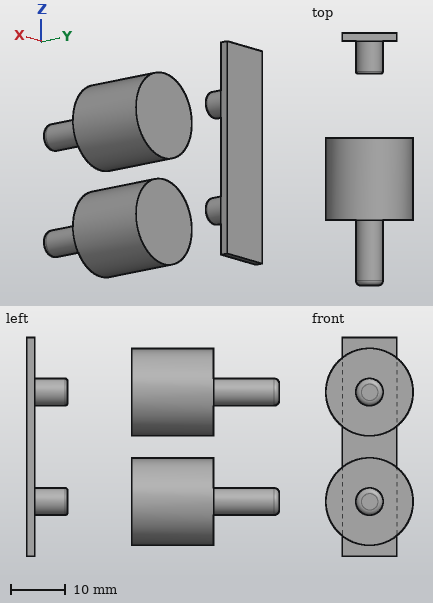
import cadquery as cq

plate_width = 10.0
plate_height = 40.0
plate_thickness = 1.5
pin_diameter = 5.0
pin_length = 6.0
pin_tip_radius = 0.5

bumper_diameter = 16.0
bumper_length = 15.0
stud_diameter = 5.0
stud_length = 12.0
stud_tip_radius = 1.0

overall_depth = 46.19
axis_spacing = 20.0
axis_heights = [-axis_spacing / 2, axis_spacing / 2]
plate_front_y = -plate_thickness
stud_tip_y = -overall_depth
bumper_front_y = stud_tip_y + stud_length
bumper_back_y = bumper_front_y + bumper_length


def cylinder_forward(diameter, length, start_y, height):
    """Cylinder centred on X = 0 that starts at start_y and runs toward -Y."""
    plane = cq.Workplane("XZ", origin=(0, start_y, height))
    return plane.circle(diameter / 2).extrude(length)


def make_locating_pin(height):
    """Short pin on the plate, rounded at its free end."""
    pin = cylinder_forward(pin_diameter, pin_length, plate_front_y, height)
    return pin.faces("<Y").edges().fillet(pin_tip_radius)


def make_pin_plate():
    """Flat plate and its locating pins as one body."""
    plate = cq.Workplane("XY").box(plate_width, plate_thickness, plate_height)
    plate = plate.translate((0, -plate_thickness / 2, 0))
    for height in axis_heights:
        plate = plate.union(make_locating_pin(height))
    return plate


def make_bumper(height):
    """Bumper cylinder and its round-ended stud as one body."""
    barrel = cylinder_forward(bumper_diameter, bumper_length, bumper_back_y, height)
    stud = cylinder_forward(stud_diameter, stud_length, bumper_front_y, height)
    stud = stud.faces("<Y").edges().fillet(stud_tip_radius)
    return barrel.union(stud)


pin_plate = make_pin_plate()
bumpers = [make_bumper(height) for height in axis_heights]

result = cq.Compound.makeCompound([pin_plate.val(), *[bumper.val() for bumper in bumpers]])